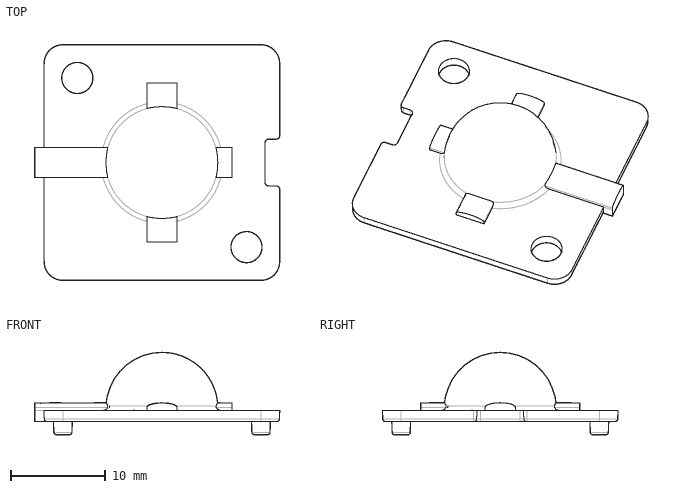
import cadquery as cq
import math

plate_size = 25.0
plate_thickness = 1.2
plate_corner_radius = 2.0
draft_angle = 2.0
bottom_edge_radius = 0.29

notch_depth = 1.55
notch_width = 4.95
notch_corner_radius = 0.4

hole_radius = 1.65
hole_offset = 8.97
pin_radius = 1.01
pin_length = 1.4
pin_tip_radius = 0.29
pin_offset = plate_size / 2 - plate_corner_radius

dome_height = 6.15
dome_radius = 5.95
dome_foot_radius = 0.5

rib_width = 3.2
rib_height = 0.8
rib_shoulder_height = 0.3
short_rib_reach = 7.44
side_rib_reach = 8.45
runner_overhang = 1.0
runner_reach = plate_size / 2 + runner_overhang


def make_plate():
    """Square plate narrowing downwards, notched at +X, with a rounded bottom edge."""
    edge_x = plate_size / 2
    notch_corners = cq.selectors.BoxSelector(
        (edge_x - 2 * notch_depth, -notch_width, -plate_thickness),
        (edge_x + notch_depth, notch_width, plate_thickness),
    )
    outline = cq.Workplane("XY").rect(plate_size, plate_size).extrude(-plate_thickness)
    outline = outline.edges("|Z").fillet(plate_corner_radius)
    notch = cq.Workplane("XY").center(edge_x, 0).rect(2 * notch_depth, notch_width)
    outline = outline.cut(notch.extrude(-plate_thickness))
    outline = outline.edges("|Z").edges(notch_corners).fillet(notch_corner_radius)
    plate = outline.faces(">Z").wires().toPending().workplane()
    plate = plate.extrude(-plate_thickness, combine=False, taper=draft_angle)
    return plate.faces("<Z").edges().fillet(bottom_edge_radius)


def make_dome():
    """Spherical cap standing on the plate, blended into it by a concave foot."""
    centre_z = dome_height - dome_radius
    foot_centre_x = math.sqrt(
        (dome_radius + dome_foot_radius) ** 2 - (dome_foot_radius - centre_z) ** 2
    )
    blend = dome_radius / (dome_radius + dome_foot_radius)
    blend_x = foot_centre_x * blend
    blend_z = centre_z + (dome_foot_radius - centre_z) * blend
    half = math.sqrt(0.5)
    return (
        cq.Workplane("XZ")
        .moveTo(0, -plate_thickness / 2)
        .lineTo(0, dome_height)
        .threePointArc((dome_radius * half, centre_z + dome_radius * half), (blend_x, blend_z))
        .threePointArc(
            (foot_centre_x - dome_foot_radius * half, dome_foot_radius * (1 - half)),
            (foot_centre_x, 0),
        )
        .lineTo(foot_centre_x, -plate_thickness / 2)
        .close()
        .revolve(360, (0, 0, 0), (0, 1, 0))
    )


def make_rib(reach, direction):
    """Rib from the dome centre out to reach, crowned by a half ellipse.

    The direction is in degrees from +X.
    """
    half_width = rib_width / 2
    half_foot = half_width - plate_thickness * math.tan(math.radians(draft_angle))
    rib = (
        cq.Workplane("YZ")
        .moveTo(-half_foot, -plate_thickness)
        .lineTo(half_foot, -plate_thickness)
        .lineTo(half_width, 0)
        .lineTo(half_width, rib_shoulder_height)
        .ellipseArc(half_width, rib_height - rib_shoulder_height, 0, 180, startAtCurrent=True)
        .lineTo(-half_width, 0)
        .close()
        .extrude(reach)
    )
    return rib.rotate((0, 0, 0), (0, 0, 1), direction)


def make_pins():
    """Drafted pins under the plate, concentric with two opposite plate corners."""
    pins = (
        cq.Workplane("XY", origin=(0, 0, -plate_thickness))
        .pushPoints([(-pin_offset, -pin_offset), (pin_offset, pin_offset)])
        .circle(pin_radius)
        .extrude(-pin_length, taper=draft_angle)
    )
    return pins.faces("<Z").edges().fillet(pin_tip_radius)


def make_holes():
    """Cutters for the two through holes."""
    return (
        cq.Workplane("XY")
        .pushPoints([(-hole_offset, hole_offset), (hole_offset, -hole_offset)])
        .circle(hole_radius)
        .extrude(-plate_thickness)
    )


result = make_plate().union(make_dome())
for rib_reach, rib_direction in (
    (short_rib_reach, 0),
    (side_rib_reach, 90),
    (runner_reach, 180),
    (side_rib_reach, 270),
):
    result = result.union(make_rib(rib_reach, rib_direction))
result = result.union(make_pins()).cut(make_holes())